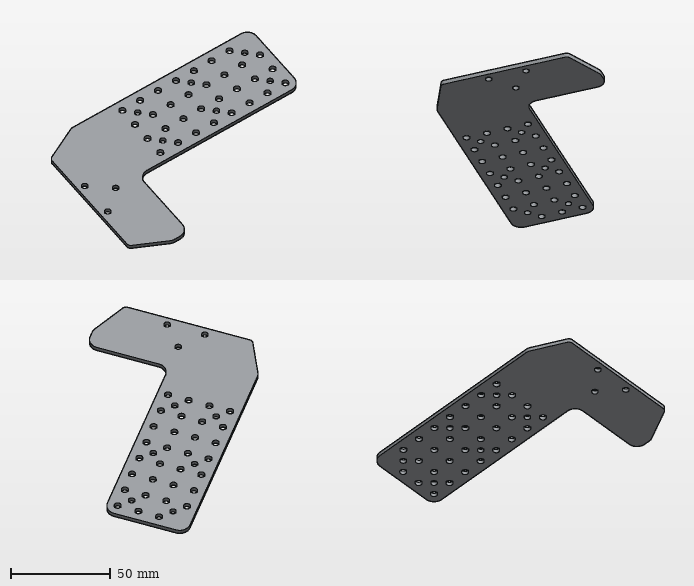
import cadquery as cq

length = 130.0
width = 88.0
thickness = 2.5

arm_width = width / 2
foot_height = 30.0
taper_width = 10.0
taper_height = 20.0

pitch = arm_width / 4
corner_radius = pitch / 2
bottom_corner_radius = 2.5

grid_columns = 4
grid_rows = 8
grid_hole_diameter = 3.5
offset_hole_diameter = 3.2
offset_row_step = 3
foot_hole_diameter = 3.2
foot_hole_spacing = 20.0
foot_lower_hole_height = 4.2
foot_upper_hole_height = 16.1


def plate_blank():
    """L-shaped plate with tapered foot and rounded corners, lower left of its bounds at the origin."""
    outline = [
        (taper_width, 0),
        (width - taper_width, 0),
        (width, taper_height),
        (width, foot_height),
        (arm_width, foot_height),
        (arm_width, length),
        (0, length),
        (0, taper_height),
    ]
    blank = cq.Workplane("XY").polyline(outline).close().extrude(thickness)
    blank = blank.edges("|Z").edges("<Y").fillet(bottom_corner_radius)
    middle_height = taper_height / 2
    upper_corners = cq.selectors.BoxSelector(
        (-width, middle_height, -thickness), (2 * width, 2 * length, 2 * thickness)
    )
    return blank.edges("|Z").edges(upper_corners).fillet(corner_radius)


def drill(plate, points, diameter):
    """Cut through holes at the given points."""
    drills = cq.Workplane("XY").pushPoints(points).circle(diameter / 2).extrude(thickness)
    return plate.cut(drills)


grid_points = [
    ((column + 0.5) * pitch, length - (row + 0.5) * pitch)
    for row in range(grid_rows)
    for column in range(grid_columns)
    if (row, column) != (0, 0)
]

offset_points = [
    (column * pitch, length - row * pitch)
    for row in range(1, grid_rows, offset_row_step)
    for column in (1, grid_columns - 1)
]

foot_points = [
    (width / 2, foot_upper_hole_height),
    (width / 2 - foot_hole_spacing / 2, foot_lower_hole_height),
    (width / 2 + foot_hole_spacing / 2, foot_lower_hole_height),
]

result = plate_blank()
result = drill(result, grid_points, grid_hole_diameter)
result = drill(result, offset_points, offset_hole_diameter)
result = drill(result, foot_points, foot_hole_diameter)